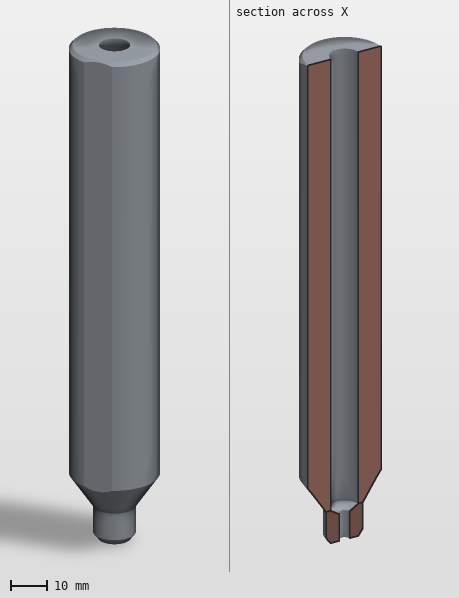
import cadquery as cq
import math

total_length = 150.0
housing_radius = 12.7
width_across_flats = 24.0
top_chamfer_width = 1.0
top_chamfer_height = 1.0
cone_top_z = 20.0
cone_bottom_z = 10.0

nozzle_radius = 6.0
nozzle_chamfer_width = 1.5
nozzle_chamfer_height = 2.0

bore_radius = 4.4
outlet_radius = 1.6
funnel_angle = 118.0
funnel_height = (bore_radius - outlet_radius) / math.tan(math.radians(funnel_angle / 2))


def revolve_profile(points):
    """Revolve a closed (radius, z) outline about the Z axis."""
    return cq.Workplane("XZ").polyline(points).close().revolve(360, (0, 0), (0, 1))


def make_housing():
    """Long grip with two flats, a tapered lower end and a straight bore."""
    turned = revolve_profile([
        (bore_radius, cone_bottom_z),
        (nozzle_radius, cone_bottom_z),
        (housing_radius, cone_top_z),
        (housing_radius, total_length - top_chamfer_height),
        (housing_radius - top_chamfer_width, total_length),
        (bore_radius, total_length),
    ])
    flats = cq.Workplane("XY").box(
        2 * housing_radius, width_across_flats, total_length, centered=(True, True, False)
    )
    return turned.intersect(flats)


def make_nozzle():
    """Chamfered tip whose funnel narrows the bore to the outlet."""
    return revolve_profile([
        (outlet_radius, 0),
        (nozzle_radius - nozzle_chamfer_width, 0),
        (nozzle_radius, nozzle_chamfer_height),
        (nozzle_radius, cone_bottom_z),
        (bore_radius, cone_bottom_z),
        (outlet_radius, cone_bottom_z - funnel_height),
    ])


housing = make_housing()
nozzle = make_nozzle()
result = cq.Compound.makeCompound([housing.val(), nozzle.val()])